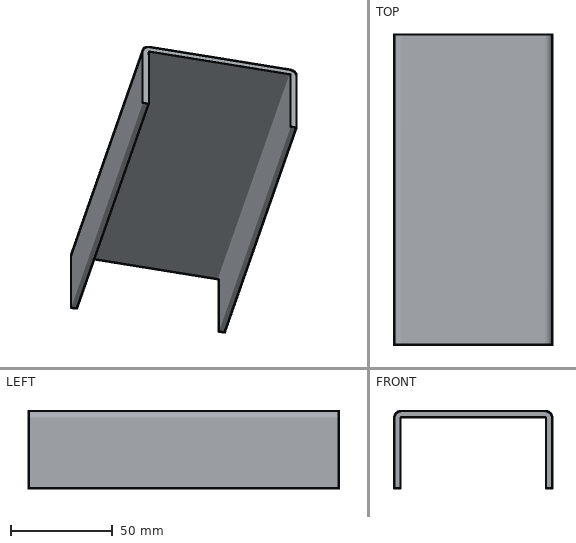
import cadquery as cq

width = 77.7875
length = 152.4
height = 38.1

thickness = 3.175
inner_radius = 0.508
outer_radius = inner_radius + thickness
tip_radius = inner_radius


def make_block(block_width, block_height, corner_radius):
    """Full-length block standing on Z = 0, with its two upper long edges rounded."""
    block = cq.Workplane("XY").box(block_width, length, block_height, centered=(True, True, False))
    return block.edges("|Y and >Z").fillet(corner_radius)


def round_leg_tips(channel):
    """Round the inner and outer long edges at the bottom of both legs."""
    return channel.edges("|Y and <Z").fillet(tip_radius)


outer_block = make_block(width, height, outer_radius)
inner_block = make_block(width - 2 * thickness, height - thickness, inner_radius)

result = round_leg_tips(outer_block.cut(inner_block))